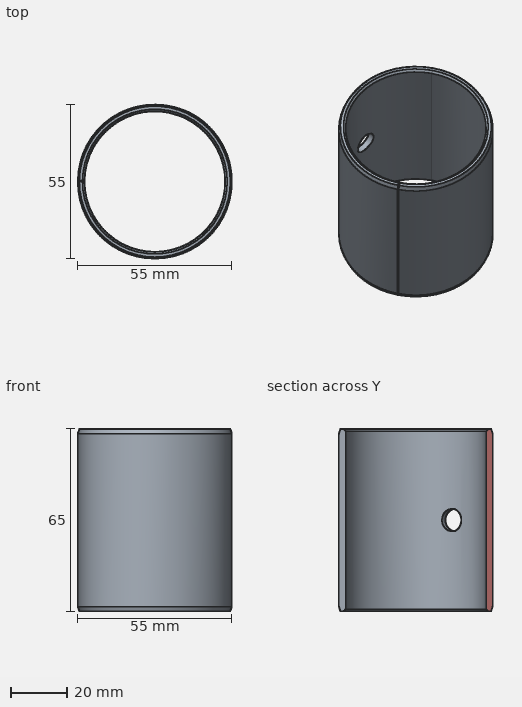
import cadquery as cq

length = 65.0
outer_diameter = 55.0
wall = 2.5
outer_radius = outer_diameter / 2
inner_radius = outer_radius - wall

outer_chamfer_height = 1.7
outer_chamfer_depth = 0.6
inner_chamfer = 0.8

split_width = 0.45

hole_diameter = 8.0
hole_angle = 59.0
hole_height = length / 2


def bushing_wall():
    """Revolve the wall section, chamfered at both ends, about Z."""
    outer_end_radius = outer_radius - outer_chamfer_depth
    inner_end_radius = inner_radius + inner_chamfer
    section = [
        (inner_end_radius, 0),
        (outer_end_radius, 0),
        (outer_radius, outer_chamfer_height),
        (outer_radius, length - outer_chamfer_height),
        (outer_end_radius, length),
        (inner_end_radius, length),
        (inner_radius, length - inner_chamfer),
        (inner_radius, inner_chamfer),
    ]
    return cq.Workplane("XZ").polyline(section).close().revolve(360, (0, 0), (0, 1))


def split_cutter():
    """Thin full-height slab that opens the wall on the -X side."""
    return cq.Workplane("XY").box(
        outer_diameter, split_width, length, centered=(True, True, False)
    ).translate((-outer_radius, split_width / 2, 0))


def oil_hole_cutter():
    """Cylinder from the axis outward through one side of the wall."""
    return (
        cq.Workplane("YZ")
        .center(0, hole_height)
        .circle(hole_diameter / 2)
        .extrude(outer_diameter)
        .rotate((0, 0, 0), (0, 0, 1), hole_angle)
    )


result = bushing_wall().cut(split_cutter()).cut(oil_hole_cutter())